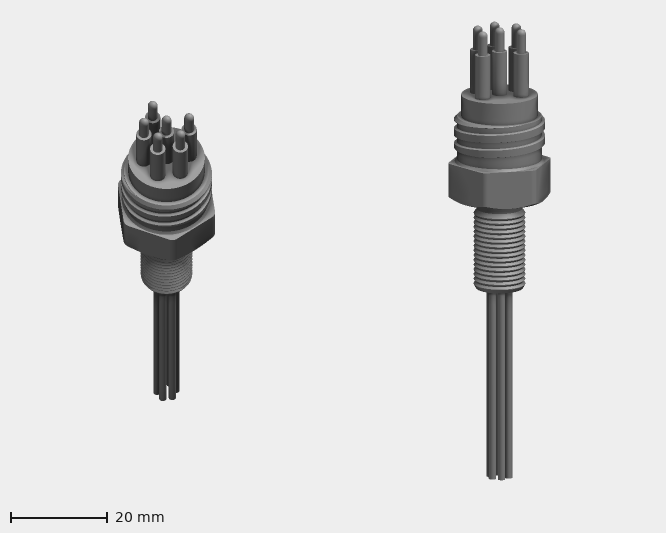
import cadquery as cq
import math

pin_tip_z = 96
sheath_top_z = 91.0
head_top_z = 81.8
collar_top_z = 77.2
collar_thread_bottom_z = 69.9
hex_top_z = 67.6
hex_bottom_z = 59.7
relief_bottom_z = 57.4
first_crest_z = 56.4
last_crest_z = 41.4
shank_bottom_z = 40.5

pin_diameter = 2.0
sheath_diameter = 3.2
pin_circle_radius = 4.7
pin_angles = [-150, -90, -30, 30, 150]

head_diameter = 15.8
collar_diameter = 17.6
collar_thread_diameter = 18.8
collar_thread_pitch = 3.2
collar_thread_turns = 3
collar_thread_start_z = 69.2
collar_thread_start_angle = 180
collar_thread_base_width = 1.9
collar_thread_crest_width = 1.5
collar_foot_chamfer = 0.5

hex_across_flats = 19.0
hex_corner_fillet = 1.5
hex_bevel_angle = 30
hex_half_side_angle = 30

shank_thread_diameter = 10.7
relief_diameter = 9.4
groove_diameter = 9.8
shank_crest_count = 16
shank_crest_flat = 0.12
shank_shoulder_chamfer = 0.6

cable_diameter = 1.5
cable_circle_diameter = 3.9
cable_count = 6
first_cable_angle = 90

overlap = 0.3


def cylinder(diameter, bottom_z, top_z):
    return cq.Workplane("XY").workplane(offset=bottom_z).circle(diameter / 2).extrude(top_z - bottom_z)


def revolved(profile):
    """Turn a closed list of (radius, z) points around the Z axis."""
    return cq.Workplane("XZ").polyline(profile).close().revolve(360, (0, 0, 0), (0, 1, 0))


def polar(radius, angle):
    return radius * math.cos(math.radians(angle)), radius * math.sin(math.radians(angle))


def make_pin():
    """Contact with a hemispherical tip, standing in a thicker insulating sheath."""
    tip_radius = pin_diameter / 2
    dome_center_z = pin_tip_z - tip_radius
    contact = cylinder(pin_diameter, head_top_z, dome_center_z)
    dome = cq.Workplane("XY").sphere(tip_radius).translate((0, 0, dome_center_z))
    sheath = cylinder(sheath_diameter, head_top_z - overlap, sheath_top_z)
    return sheath.union(contact).union(dome)


def make_collar():
    """Plain collar, flaring out slightly where it meets the hexagon."""
    radius = collar_diameter / 2
    return revolved([
        (0, hex_top_z - overlap),
        (radius + collar_foot_chamfer, hex_top_z - overlap),
        (radius + collar_foot_chamfer, hex_top_z),
        (radius, hex_top_z + collar_foot_chamfer),
        (radius, collar_top_z),
        (0, collar_top_z),
    ])


def make_collar_thread():
    """Right-handed helical ridge starting at -X, trimmed by 45 degree bevels at both ends."""
    root_radius = collar_diameter / 2
    crest_radius = collar_thread_diameter / 2
    inner_radius = root_radius - overlap
    half_crest = collar_thread_crest_width / 2
    half_base = collar_thread_base_width / 2
    flank_slope = (half_base - half_crest) / (crest_radius - root_radius)
    half_inner = half_base + overlap * flank_slope
    height = collar_thread_pitch * collar_thread_turns

    helix = cq.Wire.makeHelix(collar_thread_pitch, height, inner_radius)
    ridge = (
        cq.Workplane("XZ")
        .polyline([
            (inner_radius, -half_inner),
            (crest_radius, -half_crest),
            (crest_radius, half_crest),
            (inner_radius, half_inner),
        ])
        .close()
        .sweep(cq.Workplane(obj=helix), isFrenet=True)
        .rotate((0, 0, 0), (0, 0, 1), collar_thread_start_angle)
        .translate((0, 0, collar_thread_start_z))
    )
    core_radius = inner_radius - overlap
    rim_radius = crest_radius + overlap
    bevel = rim_radius - root_radius
    envelope = revolved([
        (core_radius, collar_thread_bottom_z),
        (root_radius, collar_thread_bottom_z),
        (rim_radius, collar_thread_bottom_z + bevel),
        (rim_radius, collar_top_z - bevel),
        (root_radius, collar_top_z),
        (core_radius, collar_top_z),
    ])
    return ridge.intersect(envelope)


def make_hex():
    """Hexagon with rounded corners and a conical bevel around its underside."""
    across_corners = hex_across_flats / math.cos(math.radians(hex_half_side_angle))
    prism = (
        cq.Workplane("XY")
        .workplane(offset=hex_bottom_z)
        .polygon(6, across_corners)
        .extrude(hex_top_z - hex_bottom_z)
        .edges("|Z")
        .fillet(hex_corner_fillet)
    )
    bevel_radius = hex_across_flats / 2
    outer_radius = across_corners / 2
    bevel_height = (outer_radius - bevel_radius) * math.tan(math.radians(hex_bevel_angle))
    envelope = revolved([
        (0, hex_bottom_z),
        (bevel_radius, hex_bottom_z),
        (outer_radius, hex_bottom_z + bevel_height),
        (outer_radius, hex_top_z),
        (0, hex_top_z),
    ])
    return prism.intersect(envelope)


def make_shank():
    """Relief neck below the hexagon, then evenly spaced ring crests down to a beveled end."""
    relief = relief_diameter / 2
    groove = groove_diameter / 2
    crest = shank_thread_diameter / 2
    pitch = (first_crest_z - last_crest_z) / (shank_crest_count - 1)
    half_crest = shank_crest_flat / 2

    profile = [
        (0, hex_bottom_z + overlap),
        (relief + shank_shoulder_chamfer, hex_bottom_z + overlap),
        (relief + shank_shoulder_chamfer, hex_bottom_z),
        (relief, hex_bottom_z - shank_shoulder_chamfer),
        (relief, relief_bottom_z),
    ]
    for i in range(shank_crest_count):
        z = first_crest_z - i * pitch
        profile.append((crest, z + half_crest))
        profile.append((crest, z - half_crest))
        if i < shank_crest_count - 1:
            profile.append((groove, z - pitch / 2))
    profile += [(groove, shank_bottom_z), (0, shank_bottom_z)]
    return revolved(profile)


result = (
    make_collar()
    .union(make_collar_thread())
    .union(make_hex())
    .union(make_shank())
    .union(cylinder(head_diameter, collar_top_z - overlap, head_top_z))
)

pin = make_pin()
pin_places = [(0, 0)] + [polar(pin_circle_radius, angle) for angle in pin_angles]
for x, y in pin_places:
    result = result.union(pin.translate((x, y, 0)))

cable = cylinder(cable_diameter, 0, shank_bottom_z + overlap)
for i in range(cable_count):
    x, y = polar(cable_circle_diameter / 2, first_cable_angle + i * 360 / cable_count)
    result = result.union(cable.translate((x, y, 0)))